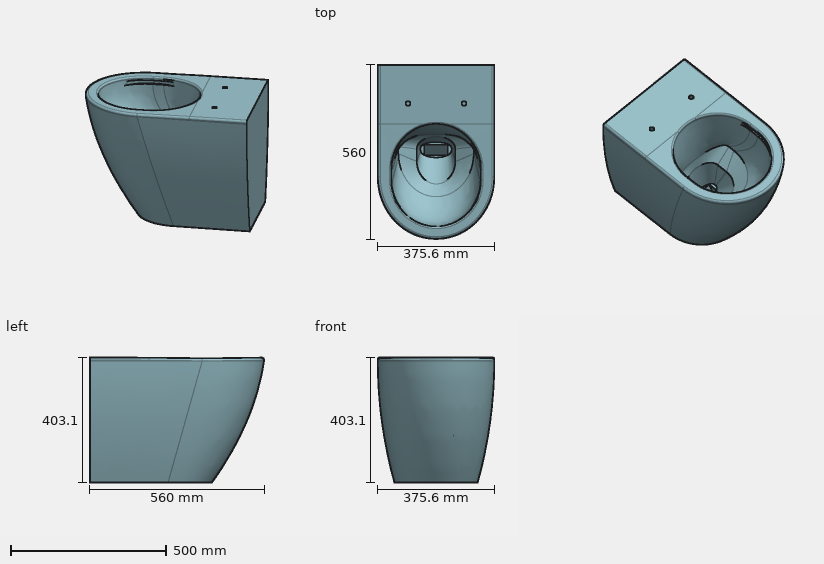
import cadquery as cq
WIDTH = 375.6
LENGTH = 560.0
HEIGHT = 403.07

RIM_BASE_Z = 391.5
FLOOR_HALF_WIDTH = 134.0
FLOOR_NOSE_Y = -392.0
NOSE_LEAN = 0.144
RIM_JOIN_Y = -360.0
FLOOR_JOIN_Y = -250.0
SHELL_STEPS = 4

DECK_BEND_Y = -189.0
DECK_BEND_Z = 402.4
DECK_LOW_Y = -330.0
DECK_LOW_Z = 400.6
DECK_FRONT_Y = -620.0
DECK_FRONT_Z = 403.0
RIM_ROUND = 8.0

SEAT_HOLE_DIAMETER = 15.0
SEAT_HOLE_SPACING = 180.0
SEAT_HOLE_Y = -124.0
SEAT_HOLE_DEPTH = 40.0

MOUTH_Z = 394.0
MOUTH = (MOUTH_Z, 144.5, -519.5, -370.0, -335.0, -189.5)
SHOULDER = (322.0, 138.0, -498.0, -360.0, -325.0, -208.0)
RING = (240.0, 121.0, -423.0, -285.0, -262.0, -222.0)
SUMP_RIM = (205.0, 62.0, -382.0, -310.0, -270.0, -230.0)
SUMP_FLOOR = (110.0, 50.0, -298.0, -274.0, -268.0, -248.0)
MOUTH_ROUND = 6.0

GROOVE_OVAL = (375.0, 151.0, -505.0, -370.0, -350.0, -225.0)
GROOVE_HEIGHT = 13.0

OUTLET_WIDTH = 76.0
OUTLET_FRONT_Y = -290.0
OUTLET_BACK_Y = -257.0
OUTLET_DEPTH = 60.0


def shell_outline(z):
    """Closed D-shaped section of the shell at height z."""
    drop = RIM_BASE_Z - z
    share = drop / RIM_BASE_Z
    half_width = WIDTH / 2 - (WIDTH / 2 - FLOOR_HALF_WIDTH) * share**2
    nose_travel = FLOOR_NOSE_Y + LENGTH
    lean_travel = NOSE_LEAN * RIM_BASE_Z
    nose_y = -LENGTH + lean_travel * share + (nose_travel - lean_travel) * share**2
    join_y = RIM_JOIN_Y + (FLOOR_JOIN_Y - RIM_JOIN_Y) * share
    nose_reach = join_y - nose_y

    return (
        cq.Workplane("XY", origin=(0, 0, z))
        .moveTo(half_width, 0)
        .lineTo(-half_width, 0)
        .lineTo(-half_width, join_y)
        .ellipseArc(half_width, nose_reach, 180, 360)
        .close()
        .val()
    )


def oval_outline(oval):
    """Oval section: two half ellipses joined by short straight flanks."""
    z, half_width, front_y, front_centre_y, back_centre_y, back_y = oval
    return (
        cq.Workplane("XY", origin=(0, 0, z))
        .moveTo(half_width, back_centre_y)
        .ellipseArc(half_width, back_y - back_centre_y, 0, 180)
        .lineTo(-half_width, front_centre_y)
        .ellipseArc(half_width, front_centre_y - front_y, 180, 360)
        .close()
        .val()
    )


def loft(outlines, ruled=False):
    return cq.Workplane(cq.Solid.makeLoft(outlines, ruled))


def prism(outline, height):
    return cq.Workplane(cq.Solid.extrudeLinear(outline, [], cq.Vector(0, 0, height)))


def make_shell():
    heights = [RIM_BASE_Z * step / SHELL_STEPS for step in range(SHELL_STEPS + 1)]
    lower = loft([shell_outline(z) for z in heights])
    return lower.union(make_rim_band())


def make_rim_band():
    """Upright band above the shell with the dished deck and a rounded outer edge."""
    band = prism(shell_outline(RIM_BASE_Z), HEIGHT - RIM_BASE_Z)
    deck_slope = (DECK_BEND_Y, DECK_BEND_Z - HEIGHT)
    dish_points = [(DECK_LOW_Y, DECK_LOW_Z), (DECK_FRONT_Y, DECK_FRONT_Z)]
    below_deck = (
        cq.Workplane("YZ", origin=(-WIDTH, 0, 0))
        .moveTo(0, 0)
        .lineTo(0, HEIGHT)
        .lineTo(DECK_BEND_Y, DECK_BEND_Z)
        .spline(dish_points, tangents=[deck_slope, (-1, 0)], includeCurrent=True)
        .lineTo(DECK_FRONT_Y, 0)
        .close()
        .extrude(2 * WIDTH)
    )
    band = band.intersect(below_deck)
    outer_edges = cq.selectors.BoxSelector(
        (-WIDTH, -2 * LENGTH, DECK_LOW_Z - RIM_ROUND / 2),
        (WIDTH, -RIM_ROUND, HEIGHT),
    )
    return band.edges(outer_edges).fillet(RIM_ROUND)


def make_bowl():
    """Smooth wall from the mouth to the ring, then a shelf and a steep sump below it."""
    wall = loft([oval_outline(oval) for oval in (MOUTH, SHOULDER, RING)])
    shelf_and_sump = loft([oval_outline(oval) for oval in (RING, SUMP_RIM, SUMP_FLOOR)], ruled=True)
    return wall.union(shelf_and_sump)


def make_mouth():
    """Upright opening through the deck."""
    return prism(oval_outline(MOUTH), HEIGHT - MOUTH_Z)


def make_groove():
    """Oval slice wider than the bowl but shorter, so that it only cuts into the sides."""
    return prism(oval_outline(GROOVE_OVAL), GROOVE_HEIGHT)


def make_outlet():
    """Wedge-shaped recess with a steep rear face."""
    sump_floor_z = SUMP_FLOOR[0]
    return (
        cq.Workplane("YZ", origin=(-OUTLET_WIDTH / 2, 0, 0))
        .moveTo(OUTLET_BACK_Y, sump_floor_z)
        .lineTo(OUTLET_FRONT_Y, sump_floor_z)
        .lineTo(OUTLET_FRONT_Y, sump_floor_z - OUTLET_DEPTH)
        .close()
        .extrude(OUTLET_WIDTH)
    )


def make_seat_holes():
    half = SEAT_HOLE_SPACING / 2
    return (
        cq.Workplane("XY", origin=(0, SEAT_HOLE_Y, HEIGHT))
        .pushPoints([(-half, 0), (half, 0)])
        .circle(SEAT_HOLE_DIAMETER / 2)
        .extrude(-SEAT_HOLE_DEPTH)
    )


def round_mouth(body):
    """Round the lip where the mouth meets the deck."""
    _, half_width, front_y, _, _, back_y = MOUTH
    margin = MOUTH_ROUND / 2
    near_mouth = cq.selectors.BoxSelector(
        (-half_width - margin, front_y - margin, DECK_LOW_Z - margin),
        (half_width + margin, back_y + margin, HEIGHT),
        boundingbox=True,
    )
    return body.edges(near_mouth).fillet(MOUTH_ROUND)


body = make_shell().cut(make_mouth())
body = round_mouth(body)
body = body.cut(make_bowl()).cut(make_outlet())
body = body.cut(make_groove())
result = body.cut(make_seat_holes())